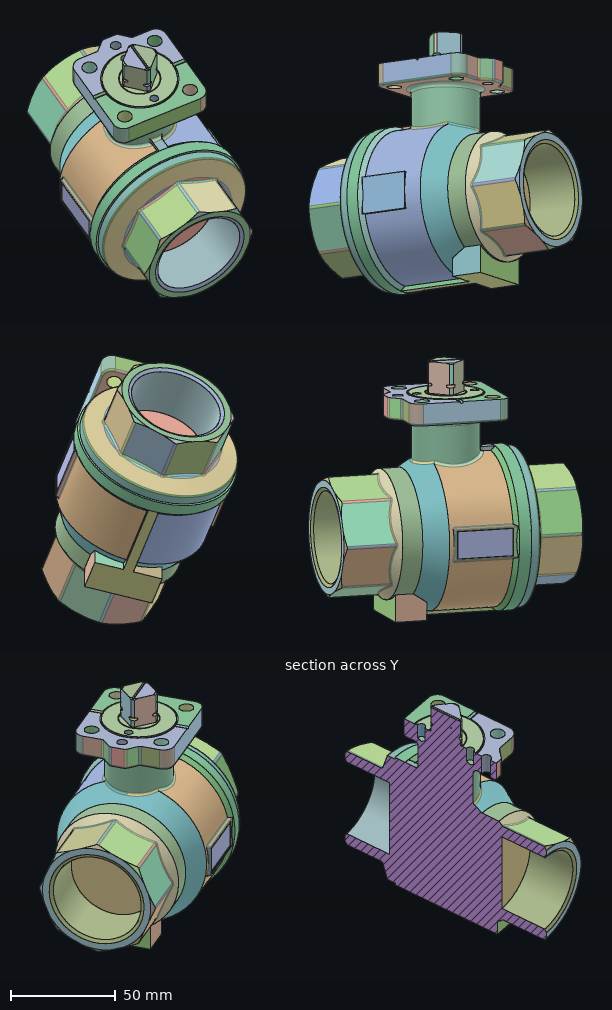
import cadquery as cq
import math


selection_margin = 0.2

half_length = 60.0
octagon_sides = 8
octagon_across_flats = 54.5
octagon_edge_radius = 2.0
octagon_root_fillet = 1.0
octagon_point_radius = 29.4
end_face_radius = 27.4
end_chamfer_angle = 30.0
bore_radius = 22.25
bore_depth = 26.5
bore_mouth_radius = 24.0
bore_mouth_depth = 1.0

collar_radius = 31.45
barrel_radius = 38.0
rim_radius = 40.0
cap_radius = 38.9
collar_start_x = -31.8
collar_end_x = -21.75
rim_start_x = 24.0
rim_cone_length = 2.3
rim_end_x = 30.1
cap_end_x = 34.8
cap_cone_end_x = 37.7
cap_edge_radius = 0.8
body_end_x = 39.0
shoulder_cone_angle = 30.0
root_radius = 25.0
body_start_x = collar_start_x - (collar_radius - root_radius)

foot_start_x = -30.8
foot_length = 15.85
foot_width = 33.7
rib_width = 5.0

plate_face_y = 39.0
plate_depth = 3.0
plate_draft_angle = 20.0
plate_edge_fillet = 0.5
plate_root_fillet = 0.5
plate_half_height = 7.6
plate_start_x = -7.4
plate_end_x = 26.0
panel_start_x = -6.6
panel_end_x = 21.2
panel_half_height = 6.65
panel_depth = 0.5
back_plate_face_y = 38.3
back_plate_start_x = -1.5
back_plate_end_x = 22.5
back_plate_height = 18.0

neck_radius = 16.5
neck_body_fillet = 1.5
neck_flange_fillet = 2.3
flange_bottom_z = 56.0
flange_top_z = 66.9
flange_half_width = 24.85
flange_corner_radius = 5.5
flange_bottom_fillet = 1.0
lobe_tip_x = -30.2
lobe_tip_half_width = 4.0
lobe_corner_radius = 2.0
bolt_circle_diameter = 50.0
bolt_hole_diameter = 7.0
lobe_hole_x = -24.0
lobe_hole_diameter = 5.0

seat_radius = 18.0
seat_top_z = 67.2
seat_groove_radius = 18.65
seat_slot_depth = 1.0
pin_hole_x = 14.5
pin_hole_diameter = 4.0
pin_hole_depth = 8.0
drill_point_angle = 118.0
gland_radius = 9.75
gland_groove_radius = 10.05

stem_top_z = 82.55
stem_across_flats = 14.0
stem_corner_radius = 9.0
stem_chamfer_width = 0.9
stem_chamfer_height = 0.5
stem_groove_z = 71.4
stem_groove_radius = 0.75
stem_groove_floor_radius = 8.0
stem_mark_depth = 0.5


def box(x_range, y_range, z_range):
    """Axis-aligned block between the given limits."""
    sizes = [limits[1] - limits[0] for limits in (x_range, y_range, z_range)]
    corner = (x_range[0], y_range[0], z_range[0])
    return cq.Workplane("XY").box(*sizes, centered=False).translate(corner)


def turned_about_x(points):
    """Solid of revolution about X from (x, radius) points."""
    return cq.Workplane("XZ").polyline(points).close().revolve(360, (0, 0, 0), (1, 0, 0))


def turned_about_z(points):
    """Solid of revolution about Z from (radius, z) points."""
    return cq.Workplane("XZ").polyline(points).close().revolve(360, (0, 0, 0), (0, 1, 0))


def make_barrel():
    """Turned body: 45 degree collar cone, shoulder cone, barrel, rim and screwed-in cap."""
    shoulder_length = (barrel_radius - collar_radius) / math.tan(math.radians(shoulder_cone_angle))
    profile = [
        (body_start_x, 0),
        (body_start_x, root_radius),
        (collar_start_x, collar_radius),
        (collar_end_x, collar_radius),
        (collar_end_x + shoulder_length, barrel_radius),
        (rim_start_x - rim_cone_length, barrel_radius),
        (rim_start_x, rim_radius),
        (rim_end_x, rim_radius),
        (rim_end_x, cap_radius),
        (cap_end_x, cap_radius),
        (cap_cone_end_x, octagon_point_radius),
        (body_end_x, root_radius),
        (body_end_x, 0),
    ]
    barrel = turned_about_x(profile)
    cap_edge = cq.selectors.BoxSelector(
        (cap_end_x - selection_margin, -rim_radius, -rim_radius),
        (cap_end_x + selection_margin, rim_radius, rim_radius),
    )
    return barrel.edges(cap_edge).fillet(cap_edge_radius)


def make_pipe_octagons():
    """Octagonal bar over the full length, its points rounded and its ends coned."""
    point_diameter = octagon_across_flats / math.cos(math.pi / octagon_sides)
    cone_length = octagon_point_radius - end_face_radius
    bar = (
        cq.Workplane("YZ")
        .polygon(octagon_sides, point_diameter)
        .extrude(half_length, both=True)
        .edges("|X")
        .fillet(octagon_edge_radius)
    )
    outer_radius = end_face_radius + cone_length / math.tan(math.radians(end_chamfer_angle))
    envelope = turned_about_x([
        (-half_length, 0),
        (-half_length, end_face_radius),
        (cone_length - half_length, outer_radius),
        (half_length - cone_length, outer_radius),
        (half_length, end_face_radius),
        (half_length, 0),
    ])
    return bar.intersect(envelope)


def make_bore(side):
    """Blind bore with a coned mouth; side is -1 or +1 along X."""
    return turned_about_x([
        (side * half_length, 0),
        (side * half_length, bore_mouth_radius),
        (side * (half_length - bore_mouth_depth), bore_radius),
        (side * (half_length - bore_depth), bore_radius),
        (side * (half_length - bore_depth), 0),
    ])


def make_foot():
    """Rectangular foot block under the collar, flush with the rim."""
    half_width = foot_width / 2
    return box((foot_start_x, foot_start_x + foot_length), (-half_width, half_width), (-rim_radius, 0))


def make_rib(start_x, side):
    """Narrow rib running along the barrel to the rim; side is -1 below, +1 above."""
    z_limits = sorted((0, side * rim_radius))
    return box((start_x, rim_start_x), (-rib_width / 2, rib_width / 2), z_limits)


def make_front_plate():
    """Name plate with drafted sides on the -Y side, running into the rim cone."""
    spread = plate_depth * math.tan(math.radians(plate_draft_angle))
    plane = cq.Plane(origin=(0, plate_depth - plate_face_y, 0), xDir=(1, 0, 0), normal=(0, -1, 0))
    plate = (
        cq.Workplane(plane)
        .center((plate_start_x + plate_end_x) / 2, 0)
        .rect(plate_end_x - plate_start_x + 2 * spread, 2 * (plate_half_height + spread))
        .extrude(plate_depth, taper=plate_draft_angle)
        .faces("<Y")
        .edges()
        .fillet(plate_edge_fillet)
    )
    return plate.intersect(box((-rim_radius, rim_start_x), (-rim_radius, 0), (-rim_radius, rim_radius)))


def make_front_panel():
    """Shallow recess in the face of the front name plate."""
    return box(
        (panel_start_x, panel_end_x),
        (-plate_face_y, -plate_face_y + panel_depth),
        (-panel_half_height, panel_half_height),
    )


def make_back_plate():
    """Plain raised plate on the +Y side."""
    half_height = back_plate_height / 2
    return box(
        (back_plate_start_x, back_plate_end_x), (0, back_plate_face_y), (-half_height, half_height)
    )


def make_flange():
    """Square flange with rounded corners and a lobe on the -X side."""
    thickness = flange_top_z - flange_bottom_z
    base = cq.Workplane("XY").workplane(offset=flange_bottom_z)
    square = (
        base.rect(2 * flange_half_width, 2 * flange_half_width)
        .extrude(thickness)
        .edges("|Z")
        .fillet(flange_corner_radius)
    )
    lobe_root_half_width = lobe_tip_half_width - flange_half_width - lobe_tip_x
    lobe = base.polyline([
        (lobe_tip_x, lobe_tip_half_width),
        (-flange_half_width, lobe_root_half_width),
        (0, lobe_root_half_width),
        (0, -lobe_root_half_width),
        (-flange_half_width, -lobe_root_half_width),
        (lobe_tip_x, -lobe_tip_half_width),
    ]).close().extrude(thickness)
    lobe_corners = cq.selectors.BoxSelector(
        (lobe_tip_x - selection_margin, -lobe_root_half_width - selection_margin, flange_bottom_z),
        (-flange_half_width + selection_margin, lobe_root_half_width + selection_margin, flange_top_z),
    )
    flange = square.union(lobe).edges("|Z").edges(lobe_corners).fillet(lobe_corner_radius)
    return flange.faces("<Z").edges().fillet(flange_bottom_fillet)


def cut_flange_holes(part):
    """Four bolt holes and the lobe hole, all through the flange only."""
    bolt_offset = bolt_circle_diameter / 2 * math.sqrt(0.5)
    bolts = [(x, y) for x in (-bolt_offset, bolt_offset) for y in (-bolt_offset, bolt_offset)]
    thickness = flange_top_z - flange_bottom_z
    base = cq.Workplane("XY").workplane(offset=flange_bottom_z)
    part = part.cut(base.pushPoints(bolts).circle(bolt_hole_diameter / 2).extrude(thickness))
    return part.cut(base.center(lobe_hole_x, 0).circle(lobe_hole_diameter / 2).extrude(thickness))


def make_ring_groove(inner_radius, outer_radius, top_z):
    """Ring groove with a vertical inner wall and a 45 degree outer wall."""
    depth = outer_radius - inner_radius
    return turned_about_z([(inner_radius, top_z), (outer_radius, top_z), (inner_radius, top_z - depth)])


def make_seat():
    """Raised round seat at the top of the flange."""
    height = seat_top_z - flange_bottom_z
    return cq.Workplane("XY").workplane(offset=flange_bottom_z).circle(seat_radius).extrude(height)


def make_seat_slot(side):
    """90 degree V slot along Y from the seat to the flange edge; side is -1 or +1."""
    length = flange_half_width - seat_radius
    slot = (
        cq.Workplane("XZ")
        .polyline([
            (-seat_slot_depth, flange_top_z),
            (seat_slot_depth, flange_top_z),
            (0, flange_top_z - seat_slot_depth),
        ])
        .close()
        .extrude(length)
        .translate((0, -seat_radius, 0))
    )
    return slot if side < 0 else slot.mirror("XZ")


def make_pin_hole(x):
    """Blind drilled hole with a conical bottom."""
    radius = pin_hole_diameter / 2
    floor_z = seat_top_z - pin_hole_depth
    point_depth = radius / math.tan(math.radians(drill_point_angle / 2))
    hole = turned_about_z([
        (0, seat_top_z),
        (radius, seat_top_z),
        (radius, floor_z),
        (0, floor_z - point_depth),
    ])
    return hole.translate((x, 0, 0))


def make_stem():
    """Square stem with corners on X and Y, corner grooves and a marking line along X."""
    height = stem_top_z - flange_bottom_z
    base = cq.Workplane("XY").workplane(offset=flange_bottom_z)
    square = base.transformed(rotate=(0, 0, 45)).rect(stem_across_flats, stem_across_flats).extrude(height)
    envelope = turned_about_z([
        (0, flange_bottom_z),
        (stem_corner_radius, flange_bottom_z),
        (stem_corner_radius, stem_top_z - stem_chamfer_height),
        (stem_corner_radius - stem_chamfer_width, stem_top_z),
        (0, stem_top_z),
    ])
    groove_path_radius = stem_groove_floor_radius + stem_groove_radius
    groove = (
        cq.Workplane("XZ")
        .center(groove_path_radius, stem_groove_z)
        .circle(stem_groove_radius)
        .revolve(360, (-groove_path_radius, 0, 0), (-groove_path_radius, 1, 0))
    )
    mark = (
        cq.Workplane("YZ")
        .polyline([
            (-stem_mark_depth, stem_top_z),
            (stem_mark_depth, stem_top_z),
            (0, stem_top_z - stem_mark_depth),
        ])
        .close()
        .extrude(stem_corner_radius, both=True)
    )
    return square.intersect(envelope).cut(groove).cut(mark)


def make_body_with_neck():
    """Barrel, top rib and neck with the neck root rounded."""
    neck = cq.Workplane("XY").circle(neck_radius).extrude(flange_bottom_z)
    body = make_barrel().union(make_rib(0, 1)).union(neck)
    reach = neck_radius + selection_margin
    neck_root = cq.selectors.BoxSelector(
        (-reach, -reach, root_radius), (reach, reach, rim_radius + selection_margin)
    )
    return body.edges(neck_root).fillet(neck_body_fillet)


def make_neck_flare():
    """Concave flare joining the neck to the underside of the flange."""
    start_z = flange_bottom_z - neck_flange_fillet
    outer_radius = neck_radius + neck_flange_fillet
    middle = neck_flange_fillet * (1 - math.sqrt(0.5))
    return (
        cq.Workplane("XZ")
        .moveTo(0, start_z)
        .lineTo(neck_radius, start_z)
        .threePointArc((neck_radius + middle, flange_bottom_z - middle), (outer_radius, flange_bottom_z))
        .lineTo(0, flange_bottom_z)
        .close()
        .revolve(360, (0, 0, 0), (0, 1, 0))
    )


def join_octagons(part):
    """Pipe ends joined to the turned body with rounded roots."""
    part = part.union(make_pipe_octagons())
    reach = octagon_point_radius + selection_margin
    left_root = (body_start_x, collar_start_x)
    right_root = (cap_end_x, body_end_x + selection_margin)
    for start_x, end_x in (left_root, right_root):
        roots = cq.selectors.BoxSelector((start_x, -reach, -reach), (end_x, reach, reach))
        part = part.edges(roots).fillet(octagon_root_fillet)
    return part


def join_front_plate(part):
    """Front name plate joined to the barrel with a rounded root."""
    part = part.union(make_front_plate())
    reach = plate_half_height + plate_depth
    root = cq.selectors.BoxSelector(
        (plate_start_x - plate_depth, -barrel_radius - selection_margin, -reach),
        (rim_start_x - rim_cone_length, plate_depth - plate_face_y, reach),
    )
    return part.edges(root).fillet(plate_root_fillet)


body = join_octagons(make_body_with_neck())
body = body.union(make_foot()).union(make_rib(foot_start_x + foot_length, -1))
body = join_front_plate(body).cut(make_front_panel()).union(make_back_plate())
for end in (-1, 1):
    body = body.cut(make_bore(end))

head = cut_flange_holes(make_flange().union(make_neck_flare()))
head = head.cut(make_ring_groove(seat_radius, seat_groove_radius, flange_top_z))
for side in (-1, 1):
    head = head.cut(make_seat_slot(side))
head = head.union(make_seat())
head = head.cut(make_ring_groove(gland_radius, gland_groove_radius, seat_top_z))
for side in (-1, 1):
    head = head.cut(make_pin_hole(side * pin_hole_x))

result = body.union(head).union(make_stem())